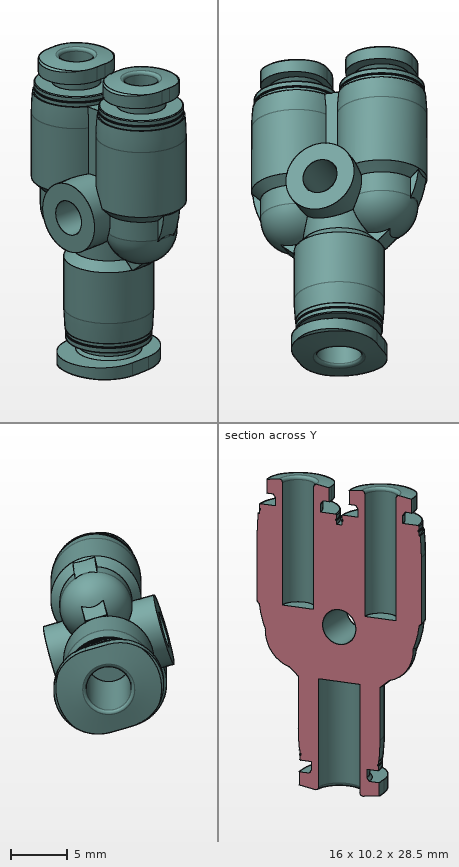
import cadquery as cq
import math

body_radius = 4.003
mouth_radius = 3.89
waist_radius = 3.205
arm_offset = body_radius
mouth_taper_length = 2.0
total_height = 28.5
shoulder_height = body_radius - waist_radius

arm_mouth_z = 25.0
arm_shoulder_z = 16.8
arm_ball_z = 14.2
stem_mouth_z = 3.5
stem_shoulder_z = 10.37

boss_z = 15.47
boss_radius = waist_radius
boss_hole_diameter = 3.2
boss_length = 10.2

web_thickness = 4.0
rib_thickness = 2.02
rib_top_x = 7.8
rib_middle = (7.52, 15.25)
rib_lower_end = (7.07, 14.05)
rib_foot_start = (5.05, 11.25)

collar_height = 0.95
collar_bevel = 0.09
groove_offset = 0.35
groove_width = 0.1
groove_depth = 0.09
neck_flare_height = 0.3
neck_flare = 0.23
button_slope = 0.15
button_edge_width = 0.23
button_edge_drop = 0.17
button_base_depth = 1.5
bore_flare = 0.3

arm_collar_diameter = 7.52
arm_neck_diameter = 4.4
arm_button_width = 6.07
arm_button_straight = 1.0
arm_bore_diameter = 3.0

stem_collar_diameter = 7.7
stem_neck_diameter = 5.4
stem_button_width = 7.8
stem_button_straight = rib_thickness
stem_bore_diameter = 4.0


def body_profile(shoulder_depth, waist_end):
    """Half section of a tube body; its mouth is at height 0 and it runs downwards."""
    taper_middle_radius = body_radius - (body_radius - mouth_radius) / 4
    return (
        cq.Workplane("XZ")
        .moveTo(0, 0)
        .lineTo(mouth_radius, 0)
        .threePointArc(
            (taper_middle_radius, -mouth_taper_length / 2),
            (body_radius, -mouth_taper_length),
        )
        .lineTo(body_radius, -shoulder_depth)
        .lineTo(waist_radius, -shoulder_depth - shoulder_height)
        .lineTo(waist_radius, -waist_end)
    )


def revolve_profile(profile):
    return profile.close().revolve(360, (0, 0, 0), (0, 1, 0))


def insert(collar_diameter, neck_diameter, button_width, straight, bore_diameter, tip):
    """Collar, neck and oval button above a mouth at height 0, with the tip at the given height."""
    collar = collar_diameter / 2
    neck = neck_diameter / 2
    base = tip - button_base_depth
    turned = revolve_profile(
        cq.Workplane("XZ")
        .moveTo(0, 0)
        .lineTo(collar, 0)
        .lineTo(collar, groove_offset)
        .lineTo(collar - groove_depth, groove_offset)
        .lineTo(collar - groove_depth, groove_offset + groove_width)
        .lineTo(collar, groove_offset + groove_width)
        .lineTo(collar, collar_height - collar_bevel)
        .lineTo(collar - collar_bevel, collar_height)
        .lineTo(neck, collar_height)
        .lineTo(neck, base - neck_flare_height)
        .lineTo(neck + neck_flare, base)
        .lineTo(0, base)
    )
    button = (
        cq.Workplane("XY", origin=(0, 0, base))
        .slot2D(button_width + straight, button_width, 90)
        .extrude(button_base_depth)
    )
    rim = bore_diameter / 2 + bore_flare
    reach = (button_width + straight) / 2
    crease = reach - button_edge_width
    crease_z = tip - button_slope * (crease - rim)
    cap = revolve_profile(
        cq.Workplane("XZ")
        .moveTo(0, base)
        .lineTo(reach, base)
        .lineTo(reach, crease_z - button_edge_drop)
        .lineTo(crease, crease_z)
        .lineTo(rim, tip)
        .lineTo(0, tip)
    )
    return turned.union(button.intersect(cap))


def bore(diameter, tip, floor):
    """Blind tube bore with a rounded entry."""
    radius = diameter / 2
    arc_inset = bore_flare * (1 - math.sqrt(0.5))
    return revolve_profile(
        cq.Workplane("XZ")
        .moveTo(0, floor)
        .lineTo(radius, floor)
        .lineTo(radius, tip - bore_flare)
        .threePointArc((radius + arc_inset, tip - arc_inset), (radius + bore_flare, tip))
        .lineTo(0, tip)
    )


def place_arm(shape, side):
    return shape.translate((side * arm_offset, 0, arm_mouth_z))


def place_stem(shape):
    return shape.rotate((0, 0, 0), (1, 0, 0), 180).translate((0, 0, stem_mouth_z))


arm_tip = total_height - arm_mouth_z
arm_shoulder_depth = arm_mouth_z - arm_shoulder_z
arm_ball_depth = arm_mouth_z - arm_ball_z
arm_body = revolve_profile(
    body_profile(arm_shoulder_depth, arm_ball_depth).lineTo(0, -arm_ball_depth)
).union(cq.Workplane("XY").sphere(waist_radius).translate((0, 0, -arm_ball_depth)))
arm = arm_body.union(
    insert(
        arm_collar_diameter,
        arm_neck_diameter,
        arm_button_width,
        arm_button_straight,
        arm_bore_diameter,
        arm_tip,
    )
)
arm_bore = bore(arm_bore_diameter, arm_tip, -arm_shoulder_depth)

stem_shoulder_depth = stem_shoulder_z - stem_mouth_z
stem_length = boss_z - stem_mouth_z
stem_body = revolve_profile(body_profile(stem_shoulder_depth, stem_length).lineTo(0, -stem_length))
stem = stem_body.union(
    insert(
        stem_collar_diameter,
        stem_neck_diameter,
        stem_button_width,
        stem_button_straight,
        stem_bore_diameter,
        stem_mouth_z,
    )
)
stem_bore = bore(stem_bore_diameter, stem_mouth_z, -stem_shoulder_depth)

boss = (
    cq.Workplane("XZ", origin=(0, 0, boss_z))
    .circle(boss_radius)
    .extrude(boss_length / 2, both=True)
)
boss_hole = (
    cq.Workplane("XZ", origin=(0, 0, boss_z))
    .circle(boss_hole_diameter / 2)
    .extrude(boss_length, both=True)
)

web = cq.Workplane("XY", origin=(0, 0, boss_z)).rect(arm_offset, web_thickness).extrude(arm_mouth_z - boss_z)

rib = (
    cq.Workplane("XZ")
    .moveTo(0, arm_shoulder_z)
    .lineTo(rib_top_x, arm_shoulder_z)
    .threePointArc(rib_middle, rib_lower_end)
    .lineTo(*rib_foot_start)
    .lineTo(body_radius, stem_shoulder_z)
    .lineTo(0, stem_shoulder_z)
    .close()
    .extrude(rib_thickness / 2, both=True)
)

result = place_stem(stem).union(boss).union(web).union(rib).union(rib.mirror("YZ"))
for side in (-1, 1):
    result = result.union(place_arm(arm, side))
for side in (-1, 1):
    result = result.cut(place_arm(arm_bore, side))
result = result.cut(place_stem(stem_bore)).cut(boss_hole)